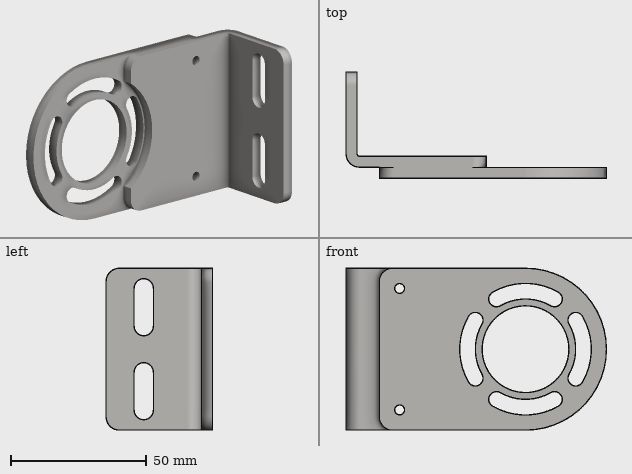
import cadquery as cq
import math

total_length = 96.4
total_depth = 39.4
height = 60.0
thickness = 4.1
corner_radius = 5.0

bend_radius = 5.0
leg_length = 52.0
flange_depth = total_depth - thickness
leg_cutout_radius = 25.0

flange_slot_length = 21.0
flange_slot_width = 7.0
flange_slot_offset = 15.5
flange_slot_edge_distance = 14.0

plate_start = 12.3
plate_end_radius = height / 2
ring_center_x = total_length - plate_end_radius
bore_diameter = 32.0

arc_slot_count = 4
arc_slot_inner_radius = 18.6
arc_slot_outer_radius = 24.3
arc_slot_half_angle = 30.0

fastener_diameter = 3.6
fastener_x = 19.9
fastener_offset = 22.5


def front_plane(y):
    """Workplane at the given Y, with local X along X, local Y along Z and normal along -Y."""
    return cq.Workplane("XZ", origin=(0, y, 0))


def make_bracket():
    leg = cq.Workplane("XY").box(leg_length, thickness, height, centered=(False, False, True))
    leg = leg.edges("|Y and >X").fillet(corner_radius)
    flange = cq.Workplane("XY").box(thickness, flange_depth, height, centered=(False, False, True))
    flange = flange.edges("|X and >Y").fillet(corner_radius)
    bracket = leg.union(flange)
    bracket = bracket.edges(cq.selectors.NearestToPointSelector((0, 0, 0))).fillet(bend_radius)
    inner_corner = cq.selectors.NearestToPointSelector((thickness, thickness, 0))
    bracket = bracket.edges(inner_corner).fillet(bend_radius - thickness)

    clearance = front_plane(thickness).center(ring_center_x, 0).circle(leg_cutout_radius).extrude(thickness)

    slot_y = flange_depth - flange_slot_edge_distance
    slots = (
        cq.Workplane("YZ")
        .pushPoints([(slot_y, -flange_slot_offset), (slot_y, flange_slot_offset)])
        .slot2D(flange_slot_length, flange_slot_width, 90)
        .extrude(thickness)
    )
    return bracket.cut(clearance).cut(slots)


def make_plate():
    half_height = height / 2
    plate = (
        front_plane(0)
        .moveTo(plate_start, -half_height)
        .lineTo(ring_center_x, -half_height)
        .threePointArc((total_length, 0), (ring_center_x, half_height))
        .lineTo(plate_start, half_height)
        .close()
        .extrude(thickness)
    )
    plate = plate.edges("|Y and <X").fillet(corner_radius)
    bore = front_plane(0).center(ring_center_x, 0).circle(bore_diameter / 2).extrude(thickness)
    plate = plate.cut(bore)
    for index in range(arc_slot_count):
        plate = plate.cut(make_arc_slot(index * 360 / arc_slot_count))
    return plate


def make_arc_slot(middle_angle):
    """Round-ended slot following a circle about the bore axis."""
    middle_radius = (arc_slot_inner_radius + arc_slot_outer_radius) / 2
    cap_radius = (arc_slot_outer_radius - arc_slot_inner_radius) / 2

    def at(radius, offset_angle, tangent_shift=0):
        angle = math.radians(middle_angle + offset_angle)
        x = radius * math.cos(angle) - tangent_shift * math.sin(angle)
        z = radius * math.sin(angle) + tangent_shift * math.cos(angle)
        return ring_center_x + x, z

    half = arc_slot_half_angle
    return (
        front_plane(0)
        .moveTo(*at(arc_slot_outer_radius, -half))
        .threePointArc(at(arc_slot_outer_radius, 0), at(arc_slot_outer_radius, half))
        .threePointArc(at(middle_radius, half, cap_radius), at(arc_slot_inner_radius, half))
        .threePointArc(at(arc_slot_inner_radius, 0), at(arc_slot_inner_radius, -half))
        .threePointArc(at(middle_radius, -half, -cap_radius), at(arc_slot_outer_radius, -half))
        .close()
        .extrude(thickness)
    )


fastener_holes = (
    front_plane(thickness)
    .pushPoints([(fastener_x, -fastener_offset), (fastener_x, fastener_offset)])
    .circle(fastener_diameter / 2)
    .extrude(2 * thickness)
)

result = make_bracket().union(make_plate()).cut(fastener_holes)